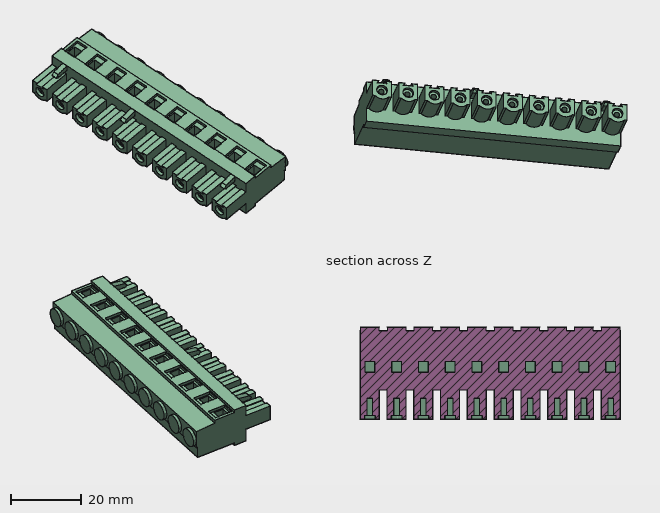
import cadquery as cq


length = 74.1
contact_count = 10
plug_width = 5.5
pitch = (length - plug_width) / (contact_count - 1)
contact_xs = [(i - (contact_count - 1) / 2) * pitch for i in range(contact_count)]

depth = 26.2
flange_height = 12.6
flange_front = 8.3
flange_back = 12.3
body_bottom = 0.9
body_top = 11.7
slope_front = 19.0
slope_top = 10.7
slope_back_top = 10.2
upper_back = 25.25
lower_back = 24.8
back_step_z = 4.5

plug_top = 9.05
plug_shoulder = 4.15
bore_z = 6.1
belly_radius = 2.8
groove_depth = 0.7
groove_top_width = 1.85
groove_floor_width = 2.8
socket_diameter = 3.05
socket_depth = 1.05
contact_hole_diameter = 1.55
contact_hole_depth = 5.9

boss_diameter = plug_width
boss_z = 6.8

opening_width = 3.6
opening_front = 12.7
opening_back = 18.1
opening_depth = 0.9
well_width = 2.75
well_front = 13.4
well_back = 16.45
well_depth = 5.9

latch_width = 1.6
latch_root_top = 12.5
latch_bottom = 10.6
latch_nose_y = 4.5
latch_nose_z = 11.9
latch_tip_y = 3.7
latch_tip_z = 11.05
latch_hook_y = 4.6
latch_hook_z = 10.4
latch_hook_root_y = 5.0
latch_xs = [-32.15, -6.1, 32.1]


def box(x, width, y_front, y_back, z_bottom, z_top):
    """Box centred on x, between the given Y and Z limits."""
    size = (width, y_back - y_front, z_top - z_bottom)
    return cq.Workplane("XY").box(*size, centered=(True, False, False)).translate((x, y_front, z_bottom))


def cylinder(x, z, diameter, y_front, y_back):
    """Cylinder along Y."""
    axis_plane = cq.Workplane("XZ", origin=(x, y_back, z))
    return axis_plane.circle(diameter / 2).extrude(y_back - y_front)


def side_extrusion(points, x, width):
    """Side outline of (y, z) points, extruded along X and centred on x."""
    return cq.Workplane("YZ", origin=(x, 0, 0)).polyline(points).close().extrude(width / 2, both=True)


def housing():
    outline = [
        (flange_front, 0),
        (flange_back, 0),
        (flange_back, body_bottom),
        (lower_back, body_bottom),
        (lower_back, back_step_z),
        (upper_back, back_step_z),
        (upper_back, slope_back_top),
        (slope_front, slope_top),
        (slope_front, body_top),
        (flange_back, body_top),
        (flange_back, flange_height),
        (flange_front, flange_height),
    ]
    return side_extrusion(outline, 0, length)


def plug(x):
    """Block with a rounded underside and a dovetail groove along its top."""
    block = box(x, plug_width, 0, flange_front, plug_shoulder, plug_top)
    belly = cylinder(x, bore_z, 2 * belly_radius, 0, flange_front)
    belly = belly.intersect(box(x, plug_width, 0, flange_front, 0, bore_z))
    groove_floor = plug_top - groove_depth
    groove = (
        cq.Workplane("XZ", origin=(x, flange_front, 0))
        .polyline([
            (-groove_top_width / 2, plug_top),
            (groove_top_width / 2, plug_top),
            (groove_floor_width / 2, groove_floor),
            (-groove_floor_width / 2, groove_floor),
        ])
        .close()
        .extrude(flange_front)
    )
    return block.union(belly).cut(groove)


def contact_bore(x):
    socket = cylinder(x, bore_z, socket_diameter, 0, socket_depth)
    return socket.union(cylinder(x, bore_z, contact_hole_diameter, 0, contact_hole_depth))


def top_opening(x):
    recess = box(x, opening_width, opening_front, opening_back, body_top - opening_depth, body_top)
    return recess.union(box(x, well_width, well_front, well_back, body_top - well_depth, body_top))


def latch(x):
    outline = [
        (flange_front, latch_root_top),
        (latch_nose_y, latch_nose_z),
        (latch_tip_y, latch_tip_z),
        (latch_hook_y, latch_hook_z),
        (latch_hook_root_y, latch_bottom),
        (flange_front, latch_bottom),
    ]
    return side_extrusion(outline, x, latch_width)


result = housing()
for contact_x in contact_xs:
    result = result.union(plug(contact_x))
    result = result.union(cylinder(contact_x, boss_z, boss_diameter, lower_back, depth))
    result = result.cut(contact_bore(contact_x))
    result = result.cut(top_opening(contact_x))
for latch_x in latch_xs:
    result = result.union(latch(latch_x))